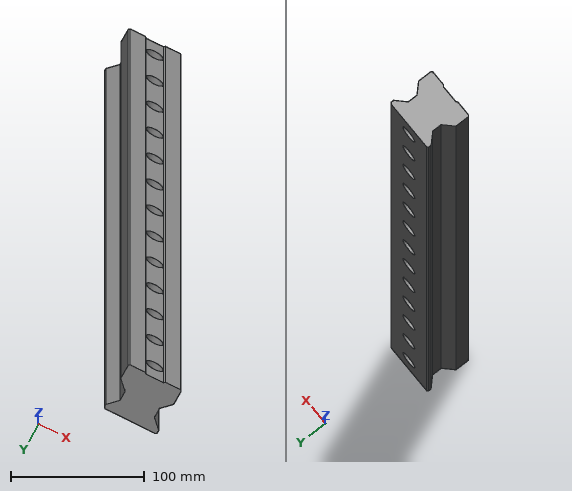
import cadquery as cq

length = 680.0
width = 45.0
height = 40.0

waist_width = 29.0
waist_flat = 8.0
head_edge = 3.5
flute_depth = (width - waist_width) / 2

corner_bevel = 1.0

groove_width = 17.0
groove_depth = 1.0

hole_diameter = 14.0
hole_count = 13
hole_end_margin = 25.0
hole_pitch = (length - 2 * hole_end_margin) / (hole_count - 1)

half_width = width / 2
half_waist = waist_width / 2
half_groove = groove_width / 2
head_y = height / 2
foot_y = -height / 2


def rail_body():
    """Symmetric rail profile in XY, extruded along Z and centred on the origin."""
    flute_top = head_y - head_edge
    waist_top = flute_top - flute_depth
    waist_bottom = waist_top - waist_flat
    flute_bottom = waist_bottom - flute_depth
    groove_floor = foot_y + groove_depth
    half_profile = [
        (0, head_y),
        (half_width - corner_bevel, head_y),
        (half_width, head_y - corner_bevel),
        (half_width, flute_top),
        (half_waist, waist_top),
        (half_waist, waist_bottom),
        (half_width, flute_bottom),
        (half_width, foot_y + corner_bevel),
        (half_width - corner_bevel, foot_y),
        (half_groove, foot_y),
        (half_groove - groove_depth, groove_floor),
        (0, groove_floor),
    ]
    profile = cq.Workplane("XY").workplane(offset=-length / 2).polyline(half_profile).mirrorY()
    return profile.extrude(length)


def mounting_holes():
    """Row of through holes running along Y, evenly spaced along the rail."""
    return (
        cq.Workplane("XZ")
        .rarray(width, hole_pitch, 1, hole_count)
        .circle(hole_diameter / 2)
        .extrude(height, both=True)
    )


result = rail_body().cut(mounting_holes())